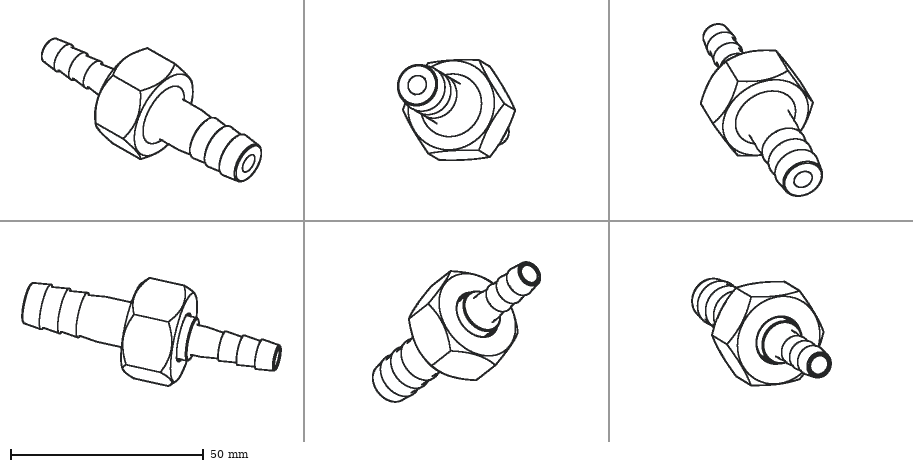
import cadquery as cq
import math


total_length = 68.0
bore_diameter = 5.0
nut_start = 25.5
nut_length = 13.5
nut_end = nut_start + nut_length

barb_pitch = 5.0
barb_count = 3
barb_height = 0.6
barb_root_fillet = 0.4

small_crest_radius = 8.0 / 2
small_tip_chamfer = 0.3
bore_mouth_chamfer = 0.3
collar_radius = 11.5 / 2
collar_start = 23.0
collar_chamfer = 0.3
collar_root_fillet = 0.4

large_crest_radius = 12.0 / 2
large_tip_chamfer = 0.3
plug_radius = 16.6 / 2
shoulder_fillet = 1.0

across_flats = 24.0
across_corners = across_flats / math.cos(math.radians(30))
nut_face_radius = 23.6 / 2
nut_wall = 3.0
nut_wall_bore_radius = 12.3 / 2
nut_bore_chamfer = 0.3
plug_start = nut_start + nut_wall


def disc(start, length, radius):
    """A cylinder along X."""
    return cq.Workplane("YZ", origin=(start, 0, 0)).circle(radius).extrude(length)


def revolve_profile(profile):
    """Turn a closed (x, radius) profile around the X axis."""
    return profile.close().revolve(360, (0, 0, 0), (1, 0, 0))


def add_barbs(profile, tip_x, direction, crest_radius, tip_chamfer):
    """Draw the barbs from the tip inward, ending where the last cone meets the plain shank."""
    root_radius = crest_radius - barb_height
    slope = barb_height / barb_pitch
    tilt = math.atan(slope)

    center_offset = barb_root_fillet
    center_radius = (root_radius + slope * center_offset
                     + barb_root_fillet / math.cos(tilt))
    middle_angle = (math.pi / 2 - tilt) / 2
    middle_offset = center_offset - barb_root_fillet * math.cos(middle_angle)
    middle_radius = center_radius - barb_root_fillet * math.sin(middle_angle)
    end_offset = center_offset + barb_root_fillet * math.sin(tilt)
    end_radius = center_radius - barb_root_fillet * math.cos(tilt)

    profile = profile.lineTo(tip_x, root_radius - tip_chamfer)
    profile = profile.lineTo(tip_x + direction * tip_chamfer, root_radius + slope * tip_chamfer)
    for barb in range(1, barb_count + 1):
        crest_x = tip_x + direction * barb * barb_pitch
        profile = profile.lineTo(crest_x, crest_radius)
        profile = profile.lineTo(crest_x, center_radius)
        profile = profile.threePointArc(
            (crest_x + direction * middle_offset, middle_radius),
            (crest_x + direction * end_offset, end_radius),
        )
    shank_x = tip_x + direction * (barb_count + 1) * barb_pitch
    return profile.lineTo(shank_x, crest_radius)


def make_small_tail():
    """The small tail with its collar, reaching through the nut wall to the plug."""
    bore_radius = bore_diameter / 2
    fillet_start = collar_start - collar_root_fillet
    fillet_end_radius = small_crest_radius + collar_root_fillet
    fillet_sag = collar_root_fillet * math.sqrt(0.5)

    profile = cq.Workplane("XY").moveTo(bore_mouth_chamfer, bore_radius)
    profile = profile.lineTo(0, bore_radius + bore_mouth_chamfer)
    profile = add_barbs(profile, 0, 1, small_crest_radius, small_tip_chamfer)
    profile = (
        profile
        .lineTo(fillet_start, small_crest_radius)
        .threePointArc(
            (fillet_start + fillet_sag, fillet_end_radius - fillet_sag),
            (collar_start, fillet_end_radius),
        )
        .lineTo(collar_start, collar_radius - collar_chamfer)
        .lineTo(collar_start + collar_chamfer, collar_radius)
        .lineTo(plug_start, collar_radius)
        .lineTo(plug_start, bore_radius)
    )
    return revolve_profile(profile)


def make_large_tail():
    """The large tail with a conical shoulder and the plug that fills the nut."""
    bore_radius = bore_diameter / 2
    shoulder_end = nut_end + plug_radius - large_crest_radius
    half_turn = math.radians(45) / 2
    tangent_length = shoulder_fillet * math.tan(half_turn)
    tangent_leg = tangent_length * math.sqrt(0.5)
    fillet_x = shoulder_end + tangent_length
    fillet_middle = (
        fillet_x - shoulder_fillet * math.sin(half_turn),
        large_crest_radius + shoulder_fillet * (1 - math.cos(half_turn)),
    )

    profile = cq.Workplane("XY").moveTo(plug_start, bore_radius)
    profile = profile.lineTo(total_length, bore_radius)
    profile = add_barbs(profile, total_length, -1, large_crest_radius, large_tip_chamfer)
    profile = (
        profile
        .lineTo(fillet_x, large_crest_radius)
        .threePointArc(
            fillet_middle,
            (shoulder_end - tangent_leg, large_crest_radius + tangent_leg),
        )
        .lineTo(nut_end, plug_radius)
        .lineTo(plug_start, plug_radius)
    )
    return revolve_profile(profile)


def make_nut():
    """The hexagon nut with 45 degree corner chamfers, a clearance bore and the plug bore."""
    hexagon = (
        cq.Workplane("YZ", origin=(nut_start, 0, 0))
        .polygon(6, across_corners)
        .extrude(nut_length)
    )
    corner_chamfer = across_corners / 2 - nut_face_radius
    round_blank = disc(nut_start, nut_length, across_corners / 2)
    chamfer_envelope = round_blank.faces("<X or >X").chamfer(corner_chamfer)
    clearance_bore = disc(nut_start, nut_wall, nut_wall_bore_radius)
    plug_bore = disc(plug_start, nut_end - plug_start, plug_radius)
    return (
        hexagon.intersect(chamfer_envelope)
        .cut(clearance_bore)
        .cut(plug_bore)
        .faces("<X")
        .edges(cq.selectors.RadiusNthSelector(0))
        .chamfer(nut_bore_chamfer)
    )


small_tail = make_small_tail()
nut = make_nut()
large_tail = make_large_tail()

result = cq.Compound.makeCompound([small_tail.val(), nut.val(), large_tail.val()])